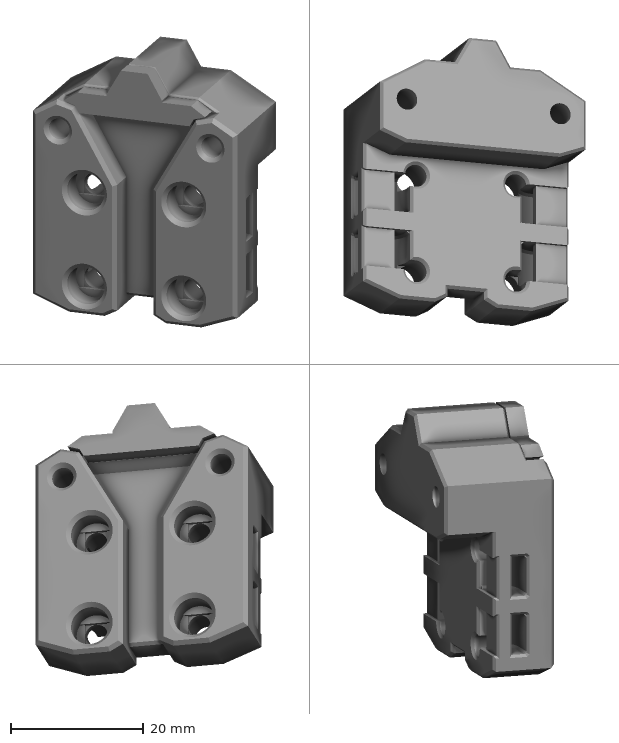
import cadquery as cq
import math


HALF_WIDTH = 16.5
HEIGHT = 39.65
TOOTH_TOP_HALF = 2.15
SHOULDER_Z = 35.65
SHOULDER_HALF = 9.25
ROOF_ANGLE = 30
TOOTH_ANGLE = 60
FOOT_OUTER_HALF = 10.63
FOOT_INNER_HALF = 4.95
FOOT_ANGLE = 20.4
CHANNEL_HALF = 2.95
FOOT_INNER_Z = 1.07
FLOOR_BOTTOM_Z = 2.25

LEG_DEPTH = 9.87
DEPTH = 17.6
RECESS_DEPTH = 3.15
CHANNEL_DEPTH = 4.52
BLOCK_BOTTOM_Z = 22.32
BLOCK_SIDE_Z = 23.85

CHANNEL_BEND_Z = 21.17
CHEEK_TOP_HALF = 9.7
CHEEK_TOP_ANGLE = 15
RAMP_TOP_Z = 32.08

FRONT_CHAMFER = 0.6
BACK_CHAMFER = 0.45
RIM_CHAMFER = 0.3
FLOOR_CHAMFER = 0.48
TOLERANCE = 0.05

CORNER_HOLE_X = 12.3
CORNER_HOLE_Z = 29.0
CORNER_HOLE_DIAMETER = 3.3
CORNER_HOLE_CHAMFER = 0.65
SCREW_X = 8.0
SCREW_ZS = (4.52, 19.5)
SCREW_DIAMETER = 3.4
SCREW_HEAD_DIAMETER = 6.0
SCREW_HEAD_DEPTH = 4.0
SCREW_HEAD_CHAMFER = 0.65
STEP_DEPTH = 0.3

STRAP_ZS = (7.65, 16.65)
STRAP_HEIGHT = 6.2
STRAP_FRONT_Y = 4.5
STRAP_BACK_Y = 6.85
STRAP_CORNER = 0.4
STRAP_BEND_X = 12.53
STRAP_FLARE = 0.4
NOTCH_Y = 9.25
NOTCH_FLARE = 0.3
RELIEF_Y = 5.75

INSERT_FRONT_Y = 0.08
INSERT_BACK_Y = 3.0
INSERT_GAP = 0.3
INSERT_TIP = (11.4, 33.82)
INSERT_BEND = (9.55, 33.23)
INSERT_BOTTOM_HALF = 8.92

ROOF_SLOPE = math.tan(math.radians(ROOF_ANGLE))
TOOTH_SLOPE = math.tan(math.radians(TOOTH_ANGLE))
FOOT_SLOPE = math.tan(math.radians(FOOT_ANGLE))
CHEEK_SLOPE = math.tan(math.radians(CHEEK_TOP_ANGLE))
EAVES_Z = SHOULDER_Z - (HALF_WIDTH - SHOULDER_HALF) * ROOF_SLOPE
TOOTH_BASE_HALF = TOOTH_TOP_HALF + (HEIGHT - SHOULDER_Z) / TOOTH_SLOPE
CHEEK_TOP_Z = CHANNEL_BEND_Z + (CHEEK_TOP_HALF - CHANNEL_HALF) * TOOTH_SLOPE


def symmetric_prism(right_half, front_y, back_y):
    """Prism along Y whose XZ outline is the given right half, top to bottom, and its mirror image."""
    left_half = [(-x, z) for x, z in reversed(right_half)]
    return (
        cq.Workplane("XZ", origin=(0, front_y, 0))
        .polyline(right_half + left_half)
        .close()
        .extrude(front_y - back_y)
    )


def both_sides(tool):
    """The given left-hand tool together with its mirror image."""
    return tool.union(tool.mirror("YZ"))


def upper_outline():
    return [
        (TOOTH_TOP_HALF, HEIGHT),
        (TOOTH_BASE_HALF, SHOULDER_Z),
        (SHOULDER_HALF, SHOULDER_Z),
        (HALF_WIDTH, EAVES_Z),
    ]


def leg_plate():
    lower_outline = [
        (HALF_WIDTH, (HALF_WIDTH - FOOT_OUTER_HALF) * FOOT_SLOPE),
        (FOOT_OUTER_HALF, 0),
        (FOOT_INNER_HALF, 0),
        (CHANNEL_HALF, FOOT_INNER_Z),
        (CHANNEL_HALF, FLOOR_BOTTOM_Z),
    ]
    plate = symmetric_prism(upper_outline() + lower_outline, 0, LEG_DEPTH)
    return plate.faces(">Y").chamfer(BACK_CHAMFER)


def upper_block():
    corner_run = (BLOCK_SIDE_Z - BLOCK_BOTTOM_Z) / FOOT_SLOPE
    lower_outline = [
        (HALF_WIDTH, BLOCK_SIDE_Z),
        (HALF_WIDTH - corner_run, BLOCK_BOTTOM_Z),
    ]
    block = symmetric_prism(upper_outline() + lower_outline, CHANNEL_DEPTH, DEPTH)
    return block.faces(">Y").chamfer(BACK_CHAMFER)


def channel_tool():
    """Insert recess and the deeper channel below it, joined by a 45 degree ramp."""
    cheek_end_z = CHEEK_TOP_Z + (HALF_WIDTH - CHEEK_TOP_HALF) * CHEEK_SLOPE
    gap_outline = [
        (HALF_WIDTH, HEIGHT),
        (HALF_WIDTH, cheek_end_z),
        (CHEEK_TOP_HALF, CHEEK_TOP_Z),
        (CHANNEL_HALF, CHANNEL_BEND_Z),
        (CHANNEL_HALF, 0),
    ]
    depth_profile = [
        (0, 0),
        (CHANNEL_DEPTH, 0),
        (CHANNEL_DEPTH, RAMP_TOP_Z - (CHANNEL_DEPTH - RECESS_DEPTH)),
        (RECESS_DEPTH, RAMP_TOP_Z),
        (RECESS_DEPTH, HEIGHT),
        (0, HEIGHT),
    ]
    depth_limit = cq.Workplane("YZ").polyline(depth_profile).close().extrude(HALF_WIDTH, both=True)
    return symmetric_prism(gap_outline, 0, CHANNEL_DEPTH).intersect(depth_limit)


def cylinder_along_y(x, z, diameter, front_y, back_y):
    return (
        cq.Workplane("XZ", origin=(x, front_y, z))
        .circle(diameter / 2)
        .extrude(front_y - back_y)
    )


def flared_disc(x, y, z, diameter, depth):
    """45 degree cone for a hole edge at depth y, narrowing to the hole diameter over the signed depth."""
    wide_radius = diameter / 2 + abs(depth)
    return (
        cq.Workplane("XY")
        .polyline([(0, 0), (wide_radius, 0), (diameter / 2, depth), (0, depth)])
        .close()
        .revolve(360, (0, 0, 0), (0, 1, 0))
        .translate((x, y, z))
    )


def corner_hole_tool(x):
    hole = cylinder_along_y(x, CORNER_HOLE_Z, CORNER_HOLE_DIAMETER, 0, DEPTH)
    return hole.union(flared_disc(x, 0, CORNER_HOLE_Z, CORNER_HOLE_DIAMETER, CORNER_HOLE_CHAMFER))


def screw_hole_tool(x, z):
    """Chamfered head bore, two narrowing bridging steps and the through hole."""
    slot_end_y = SCREW_HEAD_DEPTH + STEP_DEPTH
    square_end_y = slot_end_y + STEP_DEPTH
    mouth = flared_disc(x, 0, z, SCREW_HEAD_DIAMETER, SCREW_HEAD_CHAMFER)
    head = cylinder_along_y(x, z, SCREW_HEAD_DIAMETER, 0, SCREW_HEAD_DEPTH)
    slot = cylinder_along_y(x, z, SCREW_HEAD_DIAMETER, 0, slot_end_y).intersect(
        cq.Workplane("XY").box(SCREW_HEAD_DIAMETER, 2 * slot_end_y, SCREW_DIAMETER).translate((x, 0, z))
    )
    square = (
        cq.Workplane("XZ", origin=(x, 0, z))
        .rect(SCREW_DIAMETER, SCREW_DIAMETER)
        .extrude(-square_end_y)
    )
    hole = cylinder_along_y(x, z, SCREW_DIAMETER, 0, LEG_DEPTH)
    hole = hole.union(flared_disc(x, LEG_DEPTH, z, SCREW_DIAMETER, -BACK_CHAMFER))
    return mouth.union(head).union(slot).union(square).union(hole)


def flared_mouth(profile, flare):
    """Opening in the left side face that narrows at 45 degrees over the depth of the flare."""
    return (
        cq.Workplane("YZ", origin=(-HALF_WIDTH, 0, 0))
        .polyline(profile)
        .close()
        .extrude(flare, taper=45)
    )


def strap_section(z, growth):
    """Tunnel section in YZ, grown outward; its two front corners are cut."""
    front_y = STRAP_FRONT_Y - growth
    back_y = STRAP_BACK_Y + growth
    low_z = z - STRAP_HEIGHT / 2 - growth
    high_z = z + STRAP_HEIGHT / 2 + growth
    return [
        (back_y, low_z),
        (back_y, high_z),
        (front_y + STRAP_CORNER, high_z),
        (front_y, high_z - STRAP_CORNER),
        (front_y, low_z + STRAP_CORNER),
        (front_y + STRAP_CORNER, low_z),
    ]


def strap_tunnel_tool(z):
    """Left-hand tunnel: in from the side, a quarter turn round the post and out of the back."""
    middle_y = (STRAP_FRONT_Y + STRAP_BACK_Y) / 2
    bend_center_y = (STRAP_BACK_Y + NOTCH_Y) / 2
    bend_radius = bend_center_y - middle_y
    diagonal = bend_radius * math.sqrt(0.5)
    path = (
        cq.Workplane("XY", origin=(0, 0, z))
        .moveTo(-HALF_WIDTH, middle_y)
        .lineTo(-STRAP_BEND_X, middle_y)
        .threePointArc(
            (diagonal - STRAP_BEND_X, bend_center_y - diagonal),
            (bend_radius - STRAP_BEND_X, bend_center_y),
        )
        .lineTo(bend_radius - STRAP_BEND_X, LEG_DEPTH)
    )
    section = cq.Workplane("YZ", origin=(-HALF_WIDTH, 0, 0)).polyline(strap_section(z, 0)).close()
    tunnel = section.sweep(path)
    side_mouth = flared_mouth(strap_section(z, STRAP_FLARE), STRAP_FLARE)
    return tunnel.union(side_mouth)


def strap_wall_x():
    """Distance from the middle plane to the straight outer wall of the tunnels, near the back."""
    return STRAP_BEND_X - ((STRAP_BACK_Y + NOTCH_Y) / 2 - STRAP_FRONT_Y)


def strap_notch_tool(z):
    """Left-hand notch that carries the strap across the back of the post, with flared rims."""
    wall_x = -strap_wall_x()
    plan = [
        (-HALF_WIDTH, NOTCH_Y),
        (wall_x, NOTCH_Y),
        (wall_x, LEG_DEPTH - BACK_CHAMFER),
        (wall_x + BACK_CHAMFER, LEG_DEPTH),
        (-HALF_WIDTH, LEG_DEPTH),
    ]
    notch = (
        cq.Workplane("XY", origin=(0, 0, z))
        .polyline(plan)
        .close()
        .extrude(STRAP_HEIGHT / 2, both=True)
    )
    half_mouth = STRAP_HEIGHT / 2 + NOTCH_FLARE
    rim_y = NOTCH_Y - NOTCH_FLARE
    rim = [
        (rim_y, z - half_mouth),
        (rim_y, z + half_mouth),
        (DEPTH, z + half_mouth),
        (DEPTH, z - half_mouth),
    ]
    mouth = flared_mouth(rim, NOTCH_FLARE)
    return notch.union(mouth)


def screw_relief_tool(screw_z, strap_z):
    """Left-hand opening between a tunnel and the half of the screw hole that the tunnel reaches."""
    height = STRAP_HEIGHT / 2 + SCREW_DIAMETER / 2 - abs(screw_z - strap_z)
    middle_z = strap_z + math.copysign((STRAP_HEIGHT - height) / 2, screw_z - strap_z)
    start_x = -SCREW_X - SCREW_DIAMETER / 2
    return (
        cq.Workplane("XY", origin=(start_x, RELIEF_Y, middle_z))
        .box(SCREW_DIAMETER / 2, LEG_DEPTH - RELIEF_Y, height, centered=(False, False, True))
    )


def make_housing():
    body = leg_plate().union(upper_block()).cut(channel_tool())
    rim_edges = cq.selectors.BoxSelector(
        (-HALF_WIDTH, RECESS_DEPTH - TOLERANCE, INSERT_TIP[1] - INSERT_GAP),
        (HALF_WIDTH, RECESS_DEPTH + TOLERANCE, HEIGHT + TOLERANCE),
    )
    body = body.edges(rim_edges).chamfer(RIM_CHAMFER)
    floor_edge = cq.selectors.NearestToPointSelector((0, CHANNEL_DEPTH, FLOOR_BOTTOM_Z))
    body = body.edges(floor_edge).chamfer(FLOOR_CHAMFER)
    body = body.faces("<Y").chamfer(FRONT_CHAMFER)
    for side in (-1, 1):
        body = body.cut(corner_hole_tool(side * CORNER_HOLE_X))
        for screw_z in SCREW_ZS:
            body = body.cut(screw_hole_tool(side * SCREW_X, screw_z))
    for strap_z in STRAP_ZS:
        body = body.cut(both_sides(strap_tunnel_tool(strap_z)))
        body = body.cut(both_sides(strap_notch_tool(strap_z)))
    for screw_z, strap_z in zip(SCREW_ZS, STRAP_ZS):
        body = body.cut(both_sides(screw_relief_tool(screw_z, strap_z)))
    return body


def make_insert():
    insert_shoulder_z = SHOULDER_Z - INSERT_GAP
    insert_shoulder_half = SHOULDER_HALF - INSERT_GAP * math.tan(math.radians(ROOF_ANGLE / 2))
    right_half = [
        (TOOTH_TOP_HALF, HEIGHT),
        (TOOTH_BASE_HALF, SHOULDER_Z),
        (TOOTH_BASE_HALF, insert_shoulder_z),
        (insert_shoulder_half, insert_shoulder_z),
        INSERT_TIP,
        INSERT_BEND,
        (INSERT_BOTTOM_HALF, RAMP_TOP_Z),
    ]
    return symmetric_prism(right_half, INSERT_FRONT_Y, INSERT_BACK_Y)


housing = make_housing()
insert = make_insert()
result = cq.Compound.makeCompound([housing.val(), insert.val()])